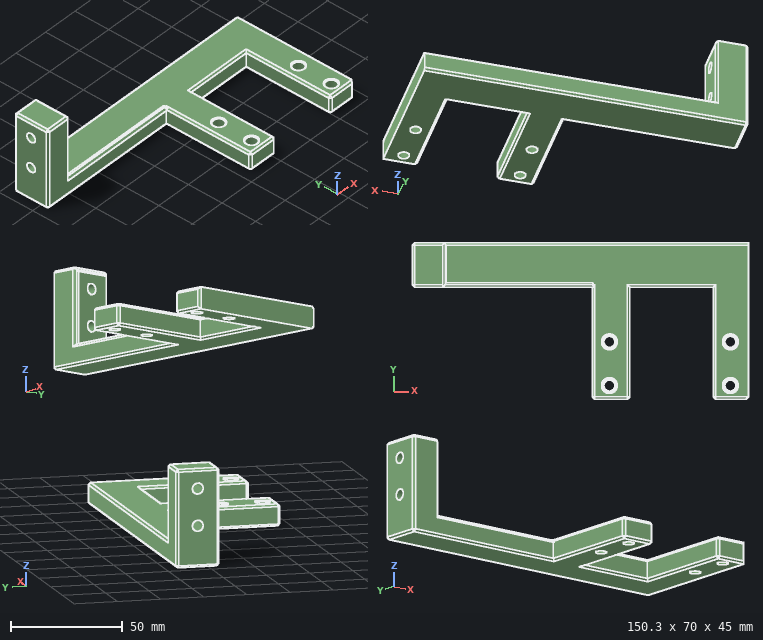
import cadquery as cq
import math

length = 150.3
depth = 70.0
height = 45.0

plate_thickness = 10.0
arm_width = 20.0
post_thickness = 15.0
first_leg_left = 80.5
first_leg_right = 97.3
second_leg_left = 134.5
arm_front = depth - arm_width

chamfer_size = 1.08

bevel_setback = 1.58
bevel_angle = 45.0
easing_setback = 0.84
easing_angle = bevel_angle / 2
bevel_reach = easing_setback / math.tan(math.radians(easing_angle))

leg_hole_diameter = 6.2
leg_hole_depth = 6.0
leg_hole_chamfer = 0.5
leg_pilot_diameter = 5.0
leg_hole_inset = 7.7
leg_hole_front_offset = 6.2
leg_hole_pitch = 19.5

post_hole_diameter = 5.0
lower_post_hole_height = 19.0
post_hole_pitch = 17.0


def flat_plate():
    """Arm along the back edge with two legs reaching to the front."""
    outline = [
        (0, depth),
        (0, arm_front),
        (first_leg_left, arm_front),
        (first_leg_left, 0),
        (first_leg_right, 0),
        (first_leg_right, arm_front),
        (second_leg_left, arm_front),
        (second_leg_left, 0),
        (length, 0),
        (length, depth),
    ]
    return cq.Workplane("XY").polyline(outline).close().extrude(plate_thickness)


def post():
    """Upright block at the left end of the arm."""
    block = cq.Workplane("XY").box(post_thickness, arm_width, height, centered=False)
    return block.translate((0, arm_front, 0))


def is_chamfered(edge):
    """True for outer edges; inside corners and the rim of the plain right end stay sharp."""
    middle = edge.Center()

    def close(value, target):
        return math.isclose(value, target, abs_tol=0.002)

    at_mid_thickness = close(middle.z, plate_thickness / 2)
    if close(middle.x, length):
        return close(middle.y, 0) and at_mid_thickness
    leg_root = close(middle.y, arm_front) and at_mid_thickness
    post_root = close(middle.x, post_thickness) and close(middle.z, plate_thickness)
    return not (leg_root or post_root)


def chamfer_outer_edges(body):
    edges = [edge for edge in body.edges().vals() if is_chamfered(edge)]
    return body.newObject(edges).chamfer(chamfer_size)


def bend_cutter(setback, angle):
    """Tapered block that slopes the front edges along the post and the arm up to the first leg."""
    left = post_thickness - setback
    right = first_leg_left + chamfer_size
    bottom = plate_thickness - setback
    top = height + post_thickness
    reach = setback / math.tan(math.radians(angle))
    return (
        cq.Workplane("XZ", origin=(0, arm_front, 0))
        .moveTo(left, bottom)
        .lineTo(right, bottom)
        .lineTo(right, top)
        .lineTo(left, top)
        .close()
        .extrude(-reach, taper=angle)
    )


def post_top_cutter():
    """Prism that gives the upper inner edge of the post the same two-step bevel."""
    step = (bevel_reach - bevel_setback) * easing_setback / (bevel_reach - easing_setback)
    profile = [
        (post_thickness - bevel_setback, height),
        (post_thickness - step, height - bevel_setback + step),
        (post_thickness, height - bevel_reach),
        (post_thickness, height),
    ]
    return cq.Workplane("XZ").polyline(profile).close().extrude(-depth)


def leg_holes():
    """Vertical holes, two in each leg: a wide upper bore with a chamfered mouth over a narrow one."""
    centers = [
        (leg_left + leg_hole_inset, leg_hole_front_offset + row * leg_hole_pitch)
        for leg_left in (first_leg_left, second_leg_left)
        for row in range(2)
    ]
    pilot_radius = leg_pilot_diameter / 2
    bore_radius = leg_hole_diameter / 2
    mouth_radius = bore_radius + leg_hole_chamfer
    step_height = plate_thickness - leg_hole_depth
    profile = [
        (0, 0),
        (pilot_radius, 0),
        (pilot_radius, step_height),
        (bore_radius, step_height),
        (bore_radius, plate_thickness - leg_hole_chamfer),
        (mouth_radius, plate_thickness),
        (0, plate_thickness),
    ]
    hole = cq.Workplane("XZ").polyline(profile).close().revolve(360, (0, 0), (0, 1)).val()
    return cq.Workplane("XY").pushPoints(centers).eachpoint(lambda place: hole.moved(place), combine=False)


def post_holes():
    """Two holes straight through the post along X, centred on the arm width."""
    centers = [
        (depth - arm_width / 2, lower_post_hole_height + row * post_hole_pitch)
        for row in range(2)
    ]
    return cq.Workplane("YZ").pushPoints(centers).circle(post_hole_diameter / 2).extrude(post_thickness)


bracket = chamfer_outer_edges(flat_plate().union(post()))
bracket = bracket.cut(bend_cutter(bevel_setback, bevel_angle))
bracket = bracket.cut(bend_cutter(easing_setback, easing_angle))
bracket = bracket.cut(post_top_cutter())
result = bracket.cut(leg_holes()).cut(post_holes())